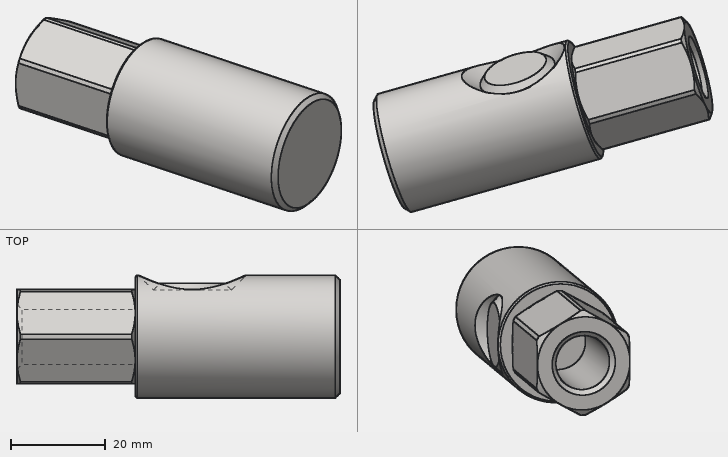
import cadquery as cq
import math

total_length = 68.2
body_diameter = 26.0
body_radius = body_diameter / 2

hex_length = 24.95
hex_across_flats = 20.0
hex_corner_diameter = 22.5
hex_bevel_angle = 30.0
hex_turn = 30.0

shoulder_bevel = 0.4
end_bevel = 1.0

bore_diameter = 11.6
bore_mouth_diameter = 13.65
bore_depth = hex_length
bore_bevel = (bore_mouth_diameter - bore_diameter) / 2

recess_center_x = 36.95
plug_top_y = 11.3
plug_top_radius = 6.8
recess_bottom_y = 9.9
recess_bottom_radius = plug_top_radius + (plug_top_y - recess_bottom_y)
recess_clearance = 0.7


def revolve_about_x(points):
    return cq.Workplane("XY").polyline(points).close().revolve(360, (0, 0, 0), (1, 0, 0))


def hex_shank():
    across_corners = hex_across_flats / math.cos(math.pi / 6)
    prism = (
        cq.Workplane("YZ")
        .polygon(6, across_corners)
        .extrude(hex_length)
        .rotate((0, 0, 0), (1, 0, 0), hex_turn)
    )
    flat_radius = hex_across_flats / 2
    corner_radius = hex_corner_diameter / 2
    bevel_length = (corner_radius - flat_radius) * math.tan(math.radians(hex_bevel_angle))
    envelope = revolve_about_x([
        (0, 0),
        (0, flat_radius),
        (bevel_length, corner_radius),
        (hex_length - bevel_length, corner_radius),
        (hex_length, flat_radius),
        (hex_length, 0),
    ])
    return prism.intersect(envelope)


def round_body():
    return revolve_about_x([
        (hex_length, 0),
        (hex_length, body_radius - shoulder_bevel),
        (hex_length + shoulder_bevel, body_radius),
        (total_length - end_bevel, body_radius),
        (total_length, body_radius - end_bevel),
        (total_length, 0),
    ])


def bore():
    return revolve_about_x([
        (0, 0),
        (0, bore_mouth_diameter / 2),
        (bore_bevel, bore_diameter / 2),
        (bore_depth, bore_diameter / 2),
        (bore_depth, 0),
    ])


def frustum_along_y(bottom_y, bottom_radius, top_y, top_radius):
    profile = [
        (0, bottom_y),
        (bottom_radius, bottom_y),
        (top_radius, top_y),
        (0, top_y),
    ]
    cone = cq.Workplane("XY").polyline(profile).close().revolve(360, (0, 0, 0), (0, 1, 0))
    return cone.translate((recess_center_x, 0, 0))


def conical_recess():
    cut_top_y = body_radius + recess_clearance
    cut_top_radius = recess_bottom_radius + (cut_top_y - recess_bottom_y)
    return frustum_along_y(recess_bottom_y, recess_bottom_radius, cut_top_y, cut_top_radius)


def plug():
    return frustum_along_y(recess_bottom_y, recess_bottom_radius, plug_top_y, plug_top_radius)


result = hex_shank().union(round_body()).cut(bore())
result = result.cut(conical_recess()).union(plug())